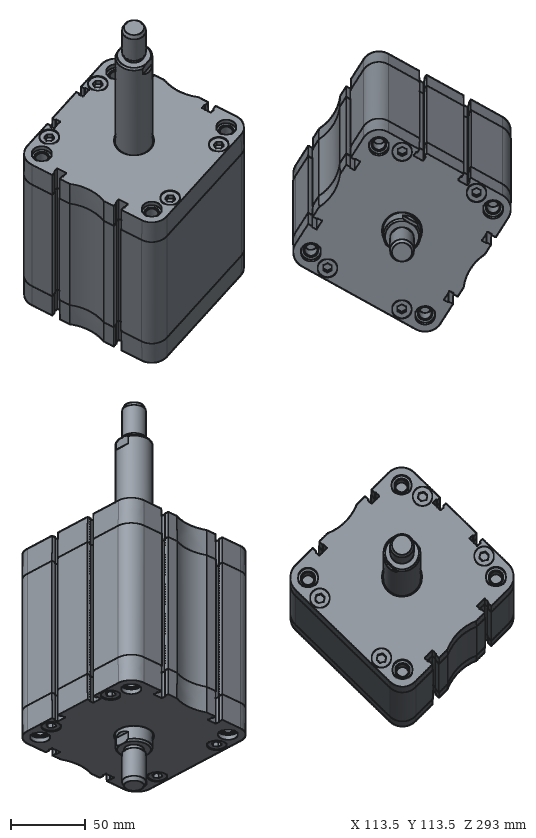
import cadquery as cq
import math

TOTAL_LENGTH = 293.0
BODY_WIDTH = 113.5
HALF_WIDTH = BODY_WIDTH / 2
CORNER_RADIUS = 12.3

BODY_BOTTOM_Z = 38.5
CAP_HEIGHT = 19.5
CAP_DRAFT_ANGLE = 0.6
BARREL_HEIGHT = 102.0
BARREL_BOTTOM_Z = BODY_BOTTOM_Z + CAP_HEIGHT
BARREL_TOP_Z = BARREL_BOTTOM_Z + BARREL_HEIGHT

HOLLOW_HALF_WIDTH = 13.8
HOLLOW_DEPTH = 3.0
HOLLOW_RADIUS = (HOLLOW_HALF_WIDTH**2 + HOLLOW_DEPTH**2) / (2 * HOLLOW_DEPTH)
HOLLOW_CENTER_Y = HALF_WIDTH - HOLLOW_DEPTH + HOLLOW_RADIUS

SLOT_INNER_WIDTH = 7.3
Y_FACE_SLOT_OFFSET = 25.0
BARREL_Y_NECK_WIDTH = 5.5
CAP_Y_NECK_WIDTH = 6.2
Y_FACE_SLOT_DEPTH = 7.0
Y_FACE_NECK_DEPTH = 3.5
X_FACE_SLOT_OFFSET = 17.3
X_FACE_NECK_WIDTH = 5.5
X_FACE_SLOT_DEPTH = 6.2
X_FACE_NECK_DEPTH = 3.0

MOUNT_OFFSET = 44.5
MOUNT_BORE_DIAMETER = 13.5
MOUNT_BORE_DEPTH = 3.5
MOUNT_MOUTH_DIAMETER = 10.0
MOUNT_THREAD_DIAMETER = 8.5
MOUNT_THREAD_DEPTH = 14.6

SCREW_X = 49.0
SCREW_Y = 29.0
SCREW_RECESS_DIAMETER = 13.2
SCREW_RECESS_DEPTH = 1.0
SOCKET_ACROSS_FLATS = 6.0
SOCKET_DEPTH = 3.5

ROD_DIAMETER = 25.0
ROD_RADIUS = ROD_DIAMETER / 2
SHOULDER_CHAMFER_WIDTH = 1.2
SHOULDER_CHAMFER_HEIGHT = 1.5
STUD_RADIUS = 16.0 / 2
STUD_LENGTH = 27.8
STUD_TIP_HEIGHT = 3.0
STUD_TIP_RADIUS = 13.5 / 2
RELIEF_RADIUS = 13.5 / 2
RELIEF_LENGTH = 2.3
RELIEF_TAPER_HEIGHT = 1.0
FLAT_SPACING = 22.0
FLAT_LENGTH = 7.0

CAP_BORE_DIAMETER = 25.5
CAP_BORE_MOUTH_DIAMETER = 27.0


def t_slot_pair(height, offset, depth, neck_width, neck_depth):
    """Two T-slot prisms for the face y = -HALF_WIDTH, at -offset and +offset along X."""
    inner_depth = depth - neck_depth
    neck_y = -HALF_WIDTH + neck_depth / 2
    inner_y = -HALF_WIDTH + depth - inner_depth / 2
    necks = cq.Workplane().pushPoints([(-offset, neck_y), (offset, neck_y)])
    necks = necks.rect(neck_width, neck_depth).extrude(height)
    inners = cq.Workplane().pushPoints([(-offset, inner_y), (offset, inner_y)])
    inners = inners.rect(SLOT_INNER_WIDTH, inner_depth).extrude(height)
    return necks.union(inners)


def body_section(height, y_neck_width, draft_angle):
    """Rounded square block, hollowed on two faces, with the T-slots along its full height."""
    outline = (
        cq.Sketch()
        .rect(BODY_WIDTH, BODY_WIDTH)
        .vertices()
        .fillet(CORNER_RADIUS)
        .reset()
        .push([(0, -HOLLOW_CENTER_Y), (0, HOLLOW_CENTER_Y)])
        .circle(HOLLOW_RADIUS, mode="s")
        .reset()
    )
    block = cq.Workplane().placeSketch(outline).extrude(height, taper=draft_angle)
    y_slots = t_slot_pair(height, Y_FACE_SLOT_OFFSET, Y_FACE_SLOT_DEPTH, y_neck_width, Y_FACE_NECK_DEPTH)
    x_slots = t_slot_pair(height, X_FACE_SLOT_OFFSET, X_FACE_SLOT_DEPTH, X_FACE_NECK_WIDTH, X_FACE_NECK_DEPTH)
    x_slots = x_slots.rotate((0, 0, 0), (0, 0, 1), -90)
    return block.cut(y_slots).cut(y_slots.mirror("XZ")).cut(x_slots)


def hole_points(x, y):
    """Four points mirrored about the X and Y axes."""
    return [(-x, -y), (x, -y), (-x, y), (x, y)]


def make_barrel():
    """Middle section that the rod passes through."""
    barrel = body_section(BARREL_HEIGHT, BARREL_Y_NECK_WIDTH, 0)
    barrel = barrel.faces(">Z").workplane().hole(ROD_DIAMETER)
    return barrel.translate((0, 0, BARREL_BOTTOM_Z))


def mount_hole_cutter():
    """Counterbored tapped hole with a countersunk thread, opening at the cap's outer face."""
    bore = MOUNT_BORE_DIAMETER / 2
    mouth = MOUNT_MOUTH_DIAMETER / 2
    thread = MOUNT_THREAD_DIAMETER / 2
    floor_z = CAP_HEIGHT - MOUNT_BORE_DEPTH
    return (
        cq.Workplane("XZ")
        .moveTo(0, CAP_HEIGHT)
        .lineTo(bore, CAP_HEIGHT)
        .lineTo(bore, floor_z)
        .lineTo(mouth, floor_z)
        .lineTo(thread, floor_z - (mouth - thread))
        .lineTo(thread, CAP_HEIGHT - MOUNT_THREAD_DEPTH)
        .lineTo(0, CAP_HEIGHT - MOUNT_THREAD_DEPTH)
        .close()
        .revolve(360, (0, 0, 0), (0, 1, 0))
    )


def screw_head_cutter():
    """Shallow round recess whose floor carries a hexagon socket with corners toward -Y and +Y."""
    recess_floor_z = CAP_HEIGHT - SCREW_RECESS_DEPTH
    recess = (
        cq.Workplane()
        .workplane(offset=recess_floor_z)
        .circle(SCREW_RECESS_DIAMETER / 2)
        .extrude(SCREW_RECESS_DEPTH)
    )
    socket = (
        cq.Workplane()
        .workplane(offset=recess_floor_z - SOCKET_DEPTH)
        .polygon(6, SOCKET_ACROSS_FLATS / math.cos(math.pi / 6))
        .extrude(SOCKET_DEPTH)
        .rotate((0, 0, 0), (0, 0, 1), 90)
    )
    return recess.union(socket)


def bore_mouth_cutter():
    """45 degree countersink at the outer end of the rod bore."""
    bore = CAP_BORE_DIAMETER / 2
    mouth = CAP_BORE_MOUTH_DIAMETER / 2
    depth = mouth - bore
    return cq.Workplane(cq.Solid.makeCone(bore, mouth, depth, cq.Vector(0, 0, CAP_HEIGHT - depth)))


def make_cap():
    """End cap with draft, standing on z = 0 with its outer face up."""
    cap = body_section(CAP_HEIGHT, CAP_Y_NECK_WIDTH, CAP_DRAFT_ANGLE)
    cap = cap.faces(">Z").workplane(origin=(0, 0, 0)).hole(CAP_BORE_DIAMETER)
    cap = cap.cut(bore_mouth_cutter())
    mount_hole = mount_hole_cutter()
    for x, y in hole_points(MOUNT_OFFSET, MOUNT_OFFSET):
        cap = cap.cut(mount_hole.translate((x, y, 0)))
    screw_head = screw_head_cutter()
    for x, y in hole_points(SCREW_X, SCREW_Y):
        cap = cap.cut(screw_head.translate((x, y, 0)))
    return cap


def flat_cutter():
    """Wrench flat on the +X side below the upper shoulder, with a 45 degree run-out."""
    flat_x = FLAT_SPACING / 2
    shoulder_z = TOTAL_LENGTH - STUD_LENGTH
    flat_end_z = shoulder_z - FLAT_LENGTH
    run_out = ROD_RADIUS - flat_x
    return (
        cq.Workplane("XZ")
        .moveTo(flat_x, shoulder_z)
        .lineTo(flat_x, flat_end_z)
        .lineTo(ROD_RADIUS, flat_end_z - run_out)
        .lineTo(ROD_RADIUS, shoulder_z)
        .close()
        .extrude(ROD_RADIUS, both=True)
    )


def make_rod():
    """Turned rod, symmetric about its middle, with two wrench flats at each end."""
    middle_z = TOTAL_LENGTH / 2
    shoulder_z = TOTAL_LENGTH - STUD_LENGTH
    relief_top_z = shoulder_z + RELIEF_LENGTH
    half_rod = (
        cq.Workplane("XZ")
        .moveTo(0, middle_z)
        .lineTo(ROD_RADIUS, middle_z)
        .lineTo(ROD_RADIUS, shoulder_z - SHOULDER_CHAMFER_HEIGHT)
        .lineTo(ROD_RADIUS - SHOULDER_CHAMFER_WIDTH, shoulder_z)
        .lineTo(RELIEF_RADIUS, shoulder_z)
        .lineTo(RELIEF_RADIUS, relief_top_z)
        .lineTo(STUD_RADIUS, relief_top_z + RELIEF_TAPER_HEIGHT)
        .lineTo(STUD_RADIUS, TOTAL_LENGTH - STUD_TIP_HEIGHT)
        .lineTo(STUD_TIP_RADIUS, TOTAL_LENGTH)
        .lineTo(0, TOTAL_LENGTH)
        .close()
        .revolve(360, (0, 0, 0), (0, 1, 0))
    )
    flat = flat_cutter()
    half_rod = half_rod.cut(flat).cut(flat.mirror("YZ"))
    other_half = half_rod.mirror("XY", (0, 0, middle_z))
    return half_rod.union(other_half)


barrel = make_barrel()
caps = [
    make_cap().translate((0, 0, BARREL_TOP_Z)),
    make_cap().mirror("XY").translate((0, 0, BARREL_BOTTOM_Z)),
]
piston_rod = make_rod()

result = cq.Compound.makeCompound([barrel.val(), *[cap.val() for cap in caps], piston_rod.val()])